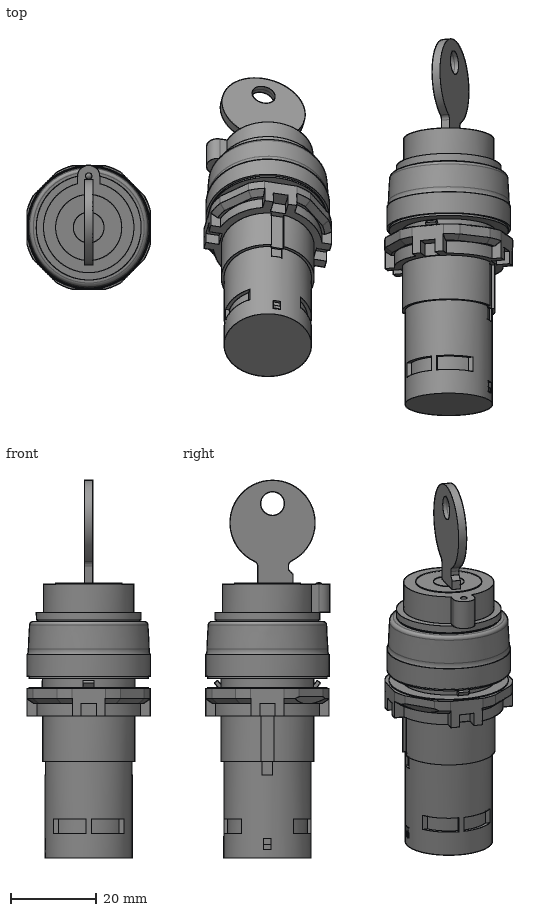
import cadquery as cq
import math


block_radius = 20.5 / 2
sleeve_radius = 21.8 / 2
sleeve_start_z = 22.65

nut_start_z = 33.27
nut_top_z = 39.8
nut_sides = 8
nut_flats = 28.95
nut_corner_radius = 15.0
nut_rim_height = 1.95
nut_chamfer_height = 1.6
nut_chamfer_inset = 1.15
nut_hub_radius = 12.75
nut_tab_width = 7.7
nut_tab_slot_width = 3.55
nut_tab_slot_height = 3.0
nut_tab_slot_floor = 11.3
washer_radius = 28.0 / 2
washer_thickness = 0.2

clip_width = 2.6
clip_thickness = 1.0
clip_length = 3.0
clip_lean = 39.0
clip_tip_y = 12.07
clip_tip_z = 41.38

ring_start_z = 42.1
ring_bottom_radius = 28.0 / 2
ring_radius = 29.0 / 2
ring_edge_height = 0.5
ring_top_z = 47.73
bezel_base_radius = 14.4
bezel_band_z = 49.0
bezel_band_radius = 14.2
bezel_top_radius = 27.8 / 2
bezel_bulge = 0.03
bezel_flare_hollow = 0.08
bezel_round = 0.9
bezel_top_z = 55.5

flange_start_z = 55.85
flange_radius = 24.6 / 2
flange_neck_radius = 12.0
flange_top_z = 57.6
cap_radius = 21.2 / 2
cap_top_z = 64.25
lock_face_radius = 7.75
lock_face_height = 0.2
keyway_plug_radius = 3.6
keyway_plug_recess = 0.1

boss_radius = 2.6
boss_reach = 14.65
boss_center_y = boss_reach - boss_radius
pin_radius = 0.75
pin_height = 0.35

key_thickness = 2.0
key_top_z = 88.59
key_head_radius = 10.0
key_head_y = 1.2
key_head_z = key_top_z - key_head_radius
key_hole_diameter = 5.5
key_hole_z = 83.1
key_blade_front_y = -2.3
key_blade_back_y = 6.0
key_neck_back_y = 4.95
key_shoulder_z = 66.55
key_shoulder_rise = 1.05
key_neck_fillet = 1.2

sleeve_groove_width = 3.0
sleeve_groove_floor = 10.05
block_groove_width = 2.5
block_groove_floor = 9.65
block_groove_start_z = 19.45

window_start_z = 5.75
window_height = 3.45
window_gap = 1.25
window_edge_y = 6.1
window_floor_radius = 9.37

notch_width = 1.75
notch_start_z = 2.05
notch_step_z = 3.25
notch_end_z = 4.6
notch_lower_floor = 10.0
notch_upper_floor = 9.7


def disc(radius, start_z, end_z):
    return cq.Workplane("XY").workplane(offset=start_z).circle(radius).extrude(end_z - start_z)


def block(x_range, y_range, z_range):
    lengths = [high - low for low, high in (x_range, y_range, z_range)]
    start = (x_range[0], y_range[0], z_range[0])
    return cq.Workplane("XY").box(*lengths, centered=False).translate(start)


def turned_body():
    """Contact block, sleeve, ring, bezel and lock head as one turned shape."""
    middle_z = (bezel_band_z + bezel_top_z - bezel_round) / 2
    middle_radius = (bezel_band_radius + bezel_top_radius) / 2 + bezel_bulge
    flare_middle = (
        (bezel_base_radius + bezel_band_radius) / 2 - bezel_flare_hollow,
        (ring_top_z + bezel_band_z) / 2,
    )
    round_center = (bezel_top_radius - bezel_round, bezel_top_z - bezel_round)
    round_offset = bezel_round * math.sqrt(0.5)
    profile = (
        cq.Workplane("XZ")
        .moveTo(0, 0)
        .lineTo(block_radius, 0)
        .lineTo(block_radius, sleeve_start_z)
        .lineTo(sleeve_radius, sleeve_start_z)
        .lineTo(sleeve_radius, ring_start_z)
        .lineTo(ring_bottom_radius, ring_start_z)
        .lineTo(ring_bottom_radius, ring_start_z + ring_edge_height)
        .lineTo(ring_radius, ring_start_z + ring_edge_height)
        .lineTo(ring_radius, ring_top_z)
        .lineTo(bezel_base_radius, ring_top_z)
        .threePointArc(flare_middle, (bezel_band_radius, bezel_band_z))
        .threePointArc((middle_radius, middle_z), (bezel_top_radius, round_center[1]))
        .threePointArc(
            (round_center[0] + round_offset, round_center[1] + round_offset),
            (round_center[0], bezel_top_z),
        )
        .lineTo(flange_neck_radius, bezel_top_z)
        .lineTo(flange_neck_radius, flange_start_z)
        .lineTo(flange_radius, flange_start_z)
        .lineTo(flange_radius, flange_top_z)
        .lineTo(cap_radius, flange_top_z)
        .lineTo(cap_radius, cap_top_z)
        .lineTo(lock_face_radius, cap_top_z)
        .lineTo(lock_face_radius, cap_top_z + lock_face_height)
        .lineTo(keyway_plug_radius, cap_top_z + lock_face_height)
        .lineTo(keyway_plug_radius, cap_top_z + lock_face_height - keyway_plug_recess)
        .lineTo(0, cap_top_z + lock_face_height - keyway_plug_recess)
        .close()
    )
    return profile.revolve(360, (0, 0, 0), (0, 1, 0))


def side_grooves():
    """Stepped locating grooves and two-step release notches on the -X and +X sides."""
    steps = (
        (sleeve_groove_width, sleeve_groove_floor, sleeve_start_z, nut_start_z),
        (block_groove_width, block_groove_floor, block_groove_start_z, sleeve_start_z),
        (notch_width, notch_lower_floor, notch_start_z, notch_step_z),
        (notch_width, notch_upper_floor, notch_step_z, notch_end_z),
    )
    grooves = cq.Workplane("XY")
    for width, floor, start_z, end_z in steps:
        step = block((floor, ring_radius), (-width / 2, width / 2), (start_z, end_z))
        grooves = grooves.union(step)
    return grooves.union(grooves.mirror("YZ"))


def wiring_windows():
    """Shallow windows, two side by side on each of the -Y and +Y sides."""
    window_end_z = window_start_z + window_height
    band = disc(ring_radius, window_start_z, window_end_z).cut(
        disc(window_floor_radius, window_start_z, window_end_z)
    )
    corner = block(
        (window_gap / 2, ring_radius),
        (window_edge_y, ring_radius),
        (window_start_z, window_end_z),
    )
    pair = corner.union(corner.mirror("YZ"))
    return band.intersect(pair.union(pair.mirror("XZ")))


def clamping_nut():
    """Rounded octagonal nut with a chamfered underside, a hub and four slotted tabs."""
    octagon_diameter = nut_flats / math.cos(math.pi / nut_sides)
    rim_start_z = nut_top_z - nut_rim_height
    chamfer_start_z = rim_start_z - nut_chamfer_height
    nut = (
        cq.Workplane("XY")
        .workplane(offset=chamfer_start_z)
        .transformed(rotate=(0, 0, 180 / nut_sides))
        .polygon(nut_sides, octagon_diameter)
        .extrude(nut_top_z - chamfer_start_z)
        .intersect(disc(nut_corner_radius, chamfer_start_z, nut_top_z))
        .faces("<Z")
        .chamfer(nut_chamfer_height, nut_chamfer_inset)
    )
    nut = nut.union(disc(nut_hub_radius, nut_start_z, nut_top_z))
    nut = nut.union(disc(washer_radius, nut_top_z, nut_top_z + washer_thickness))

    tab = block(
        (0, nut_flats / 2),
        (-nut_tab_width / 2, nut_tab_width / 2),
        (nut_start_z, nut_top_z),
    )
    slot = block(
        (nut_tab_slot_floor, nut_flats / 2),
        (-nut_tab_slot_width / 2, nut_tab_slot_width / 2),
        (nut_start_z, nut_start_z + nut_tab_slot_height),
    )
    quarter_turns = range(0, 360, 90)
    for angle in quarter_turns:
        nut = nut.union(tab.rotate((0, 0, 0), (0, 0, 1), angle))
    for angle in quarter_turns:
        nut = nut.cut(slot.rotate((0, 0, 0), (0, 0, 1), angle))
    return nut


def clips():
    """Leaning clips that rise from the nut on the -Y and +Y sides."""
    clip = (
        cq.Workplane("XY")
        .box(clip_width, clip_thickness, clip_length)
        .translate((0, 0, -clip_length / 2))
        .rotate((0, 0, 0), (1, 0, 0), -clip_lean)
        .translate((0, clip_tip_y, clip_tip_z))
    )
    return clip.union(clip.mirror("XZ"))


def index_boss():
    """Round-ended boss on the +Y side of the cap with a domed pin on top."""
    boss = disc(boss_radius, flange_top_z, cap_top_z).translate((0, boss_center_y, 0))
    arm = block((-boss_radius, boss_radius), (0, boss_center_y), (flange_top_z, cap_top_z))
    dome_radius = (pin_radius**2 + pin_height**2) / (2 * pin_height)
    dome = cq.Workplane("XY").sphere(dome_radius)
    dome = dome.translate((0, boss_center_y, cap_top_z + pin_height - dome_radius))
    return boss.union(arm).union(dome)


def key():
    """Flat key lying in the YZ plane, entering the lock face."""
    root_z = flange_top_z
    plane = cq.Workplane("YZ")
    blade = (
        plane.moveTo(key_blade_front_y, root_z)
        .lineTo(key_blade_back_y, root_z)
        .lineTo(key_blade_back_y, key_shoulder_z)
        .lineTo(key_neck_back_y, key_shoulder_z + key_shoulder_rise)
        .lineTo(key_neck_back_y, key_head_z)
        .lineTo(key_blade_front_y, key_head_z)
        .close()
        .extrude(key_thickness / 2, both=True)
    )
    head = plane.center(key_head_y, key_head_z).circle(key_head_radius)
    head = head.extrude(key_thickness / 2, both=True)
    hole = plane.center(key_head_y, key_hole_z).circle(key_hole_diameter / 2)
    hole = hole.extrude(key_thickness, both=True)
    neck_corners = cq.selectors.BoxSelector(
        (-key_thickness, key_blade_front_y - key_neck_fillet, key_shoulder_z + 2 * key_shoulder_rise),
        (key_thickness, key_neck_back_y + key_neck_fillet, key_head_z),
    )
    blank = blade.union(head).edges("|X").edges(neck_corners).fillet(key_neck_fillet)
    return blank.cut(hole)


body = turned_body().cut(side_grooves()).cut(wiring_windows())
result = body.union(clamping_nut()).union(clips()).union(index_boss()).union(key())